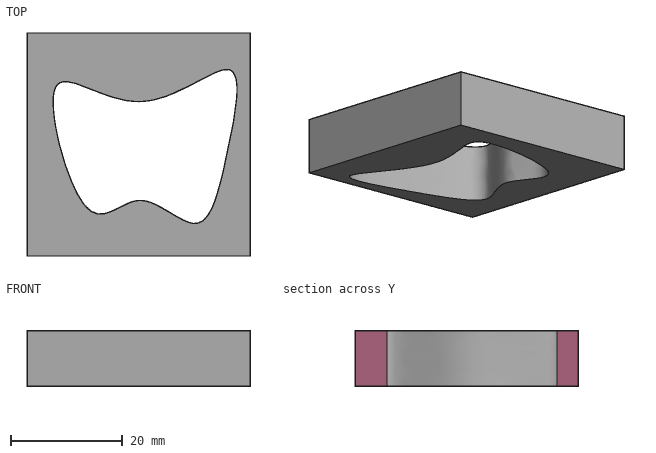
import cadquery as cq

block_side = 40.0
block_height = 10.0

window_polygon = [
    (-20.0, 19.8),
    (0.0, 1.5),
    (20.2, 20.2),
    (15.9, -1.8),
    (11.9, -19.4),
    (-0.3, -5.2),
    (-9.6, -19.8),
]


def blended_corner(polygon, index):
    """Point of a closed uniform cubic B-spline belonging to one polygon corner."""
    before = polygon[index - 1]
    corner = polygon[index]
    after = polygon[(index + 1) % len(polygon)]
    return tuple((a + 4 * b + c) / 6 for a, b, c in zip(before, corner, after))


def make_block():
    """Plain square block."""
    return cq.Workplane("XY").box(block_side, block_side, block_height, centered=(True, True, False))


def blended_direction(polygon, index):
    """Derivative of the same spline, per unit parameter, at one polygon corner."""
    before = polygon[index - 1]
    after = polygon[(index + 1) % len(polygon)]
    return tuple((c - a) / 2 for a, c in zip(before, after))


def make_window():
    """Straight-walled core that opens the window through the full block height."""
    corner_count = len(window_polygon)
    outline_points = [blended_corner(window_polygon, i) for i in range(corner_count)]
    outline_points.append(outline_points[0])
    parameters = [float(i) for i in range(corner_count + 1)]
    seam_direction = blended_direction(window_polygon, 0)
    outline = cq.Workplane("XY").spline(
        outline_points,
        tangents=[seam_direction, seam_direction],
        parameters=parameters,
        scale=False,
    )
    return outline.wire().extrude(block_height)


result = make_block().cut(make_window())